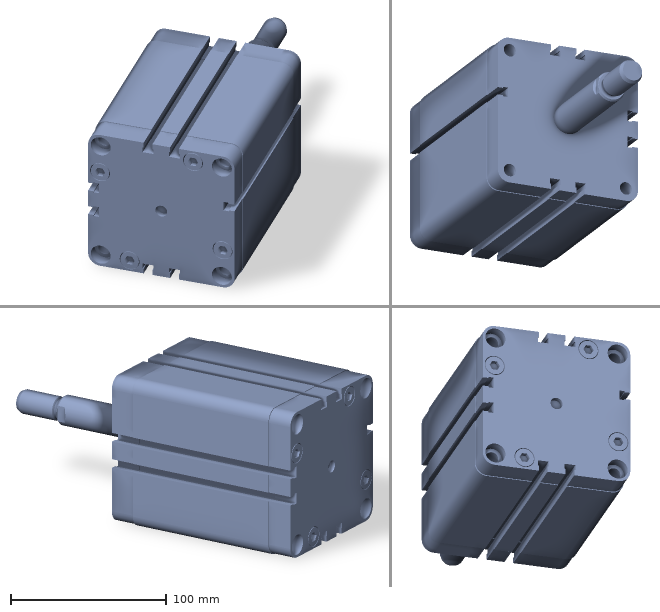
import cadquery as cq
import math

total_length = 236
rod_reach = 100.0
housing_length = total_length - rod_reach
cap_length = 16.3
body_length = housing_length - 2 * cap_length

body_side = 100.0
body_corner_radius = 8.0
cap_inset = 0.5
cap_side = body_side - 2 * cap_inset

groove_depth = 7.8
body_extra_depth = 0.5
mouth_depth = 4.2
groove_offset = 9.0
mouth_width = 6.0
pocket_width = 7.3
single_groove_offset = 12.0
single_mouth_width = 5.0
single_pocket_width = 6.4

mount_offset = 41.0
mount_hole_diameter = 8.5
mount_bore_diameter = 13.5
mount_bore_depth = 8.0

screw_near_offset = 21.5
screw_far_offset = 41.5
screw_recess_diameter = 13.5
screw_head_diameter = 12.5
screw_gap_depth = 6.0
socket_across_flats = 6.0
socket_depth = 3.5

port_diameter = 8.0
port_depth = 4.0

rod_diameter = 20.0
thread_diameter = 16.0
neck_diameter = 13.5
tip_diameter = 13.5
shoulder_to_tip = 32.0
thread_length = 28.0
tip_chamfer_length = 2.8
thread_run_out = 0.7
shoulder_chamfer_length = 1.5
shoulder_chamfer_height = 1.0
flat_across = 17.0
flat_reach = 6.0
flat_lip = 0.5


def square_prism(side, corner_radius, start, length):
    block = cq.Workplane("XY").box(side, length, side)
    return block.edges("|Y").fillet(corner_radius).translate((0, start + length / 2, 0))


def make_housing():
    """Body tube between two slightly smaller end caps."""
    front_cap_start = housing_length - cap_length
    housing = square_prism(body_side, body_corner_radius, cap_length, body_length)
    for start in (0, front_cap_start):
        housing = housing.union(square_prism(cap_side, body_corner_radius, start, cap_length))
    return housing


def make_groove(offset, mouth, pocket, face_angle):
    """T-shaped groove through the top face, turned about Y onto another face."""
    surface = body_side / 2
    lip = surface - mouth_depth

    def t_bar(start, length, floor):
        outline = [
            (offset - mouth / 2, surface),
            (offset - mouth / 2, lip),
            (offset - pocket / 2, lip),
            (offset - pocket / 2, floor),
            (offset + pocket / 2, floor),
            (offset + pocket / 2, lip),
            (offset + mouth / 2, lip),
            (offset + mouth / 2, surface),
        ]
        plane = cq.Workplane("XZ", origin=(0, start, 0))
        return plane.polyline(outline).close().extrude(-length)

    through = t_bar(0, housing_length, surface - groove_depth)
    deeper_body = t_bar(cap_length, body_length, surface - groove_depth - body_extra_depth)
    return through.union(deeper_body).rotate((0, 0, 0), (0, 1, 0), face_angle)


def make_rod():
    """Turned rod with a chamfered thread, an undercut neck and two wrench flats."""
    rod_radius = rod_diameter / 2
    thread_radius = thread_diameter / 2
    neck_radius = neck_diameter / 2
    shoulder = total_length - shoulder_to_tip
    thread_start = total_length - thread_length
    root = housing_length - cap_length
    profile = [
        (0, root),
        (rod_radius, root),
        (rod_radius, shoulder - shoulder_chamfer_length),
        (rod_radius - shoulder_chamfer_height, shoulder),
        (neck_radius, shoulder),
        (neck_radius, thread_start - thread_run_out),
        (thread_radius, thread_start),
        (thread_radius, total_length - tip_chamfer_length),
        (tip_diameter / 2, total_length),
        (0, total_length),
    ]
    rod = cq.Workplane("XY").polyline(profile).close().revolve(360, (0, 0, 0), (0, 1, 0))

    flat_start = shoulder - flat_lip
    flat_end = shoulder - flat_reach
    flat_height = rod_radius - flat_across / 2
    flat_profile = [
        (flat_across / 2, flat_start),
        (flat_across / 2, flat_end),
        (rod_radius, flat_end - flat_height),
        (rod_radius, flat_start),
    ]
    flat = cq.Workplane("XY").polyline(flat_profile).close().extrude(rod_radius, both=True)
    return rod.cut(flat).cut(flat.mirror("YZ"))


def rear_plane():
    """Sketch plane on the rear face, X right and Z up; a negative extrusion goes into the housing."""
    return cq.Workplane("XZ")


def cut_mounting_holes(part):
    corners = [(x, z) for x in (-mount_offset, mount_offset) for z in (-mount_offset, mount_offset)]
    holes = rear_plane().pushPoints(corners).circle(mount_hole_diameter / 2).extrude(-housing_length)
    bores = rear_plane().pushPoints(corners).circle(mount_bore_diameter / 2).extrude(-mount_bore_depth)
    return part.cut(holes).cut(bores)


def cut_screws(part):
    """Leave each flush screw head as an island with a hexagonal socket."""
    near = screw_near_offset
    far = screw_far_offset
    places = [(near, far), (far, -near), (-near, -far), (-far, near)]
    socket_across_corners = socket_across_flats / math.cos(math.radians(30))
    gaps = rear_plane().pushPoints(places).circle(screw_recess_diameter / 2)
    gaps = gaps.circle(screw_head_diameter / 2).extrude(-screw_gap_depth)
    sockets = rear_plane().pushPoints(places).polygon(6, socket_across_corners).extrude(-socket_depth)
    return part.cut(gaps).cut(sockets)


top_turn = 0
right_turn = 90
bottom_turn = 180
left_turn = -90

housing = make_housing()
for turn in (top_turn, bottom_turn, left_turn):
    for offset in (-groove_offset, groove_offset):
        housing = housing.cut(make_groove(offset, mouth_width, pocket_width, turn))
housing = housing.cut(
    make_groove(-single_groove_offset, single_mouth_width, single_pocket_width, right_turn)
)
housing = cut_mounting_holes(housing)
housing = cut_screws(housing)
housing = housing.cut(rear_plane().circle(port_diameter / 2).extrude(-port_depth))
result = housing.union(make_rod())